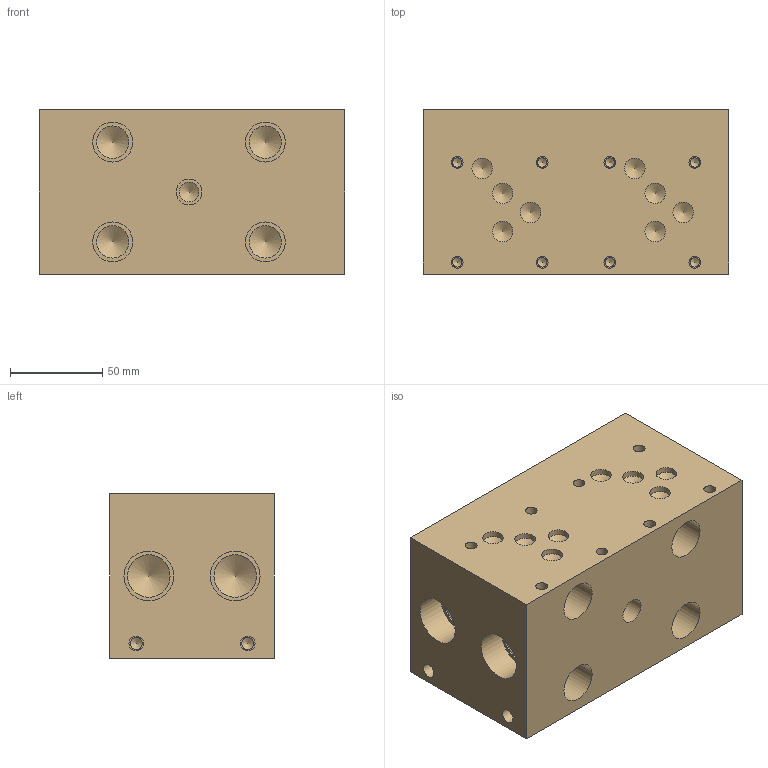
import cadquery as cq
import math

LENGTH = 165.1
WIDTH = 88.9
HEIGHT = 88.9
LEFT = -LENGTH / 2
FRONT = -WIDTH / 2
BACK = WIDTH / 2
BOTTOM = -HEIGHT / 2
TOP = HEIGHT / 2

STATION_COUNT = 2
STATION_PITCH = LENGTH / STATION_COUNT
BOLT_SPAN_X = 46.0
BOLT_SPAN_Y = 54.0
BOLT_ROW_TO_FRONT = 6.35
FLOW_OFFSETS = [(6.3, 27.0), (21.4, 16.7), (21.4, 37.3), (32.5, 3.2)]
FLOW_DIAMETER = 11.11
FLOW_DEPTH = 3.2
STATION_BOLT_DIAMETER = 6.35
STATION_BOLT_DRILL = 5.11
STATION_BOLT_THREAD_DEPTH = 14.0
STATION_BOLT_DEPTH = 18.0

WORK_PORT_X = 39.67
WORK_PORT_EDGE_Z = 17.46
WORK_PORT_DIAMETER = 21.59
WORK_PORT_DRILL = 17.48
WORK_PORT_THREAD_DEPTH = 15.5
WORK_PORT_DEPTH = 17.0
GAUGE_PORT_X = 80.96
GAUGE_PORT_DIAMETER = 13.87
GAUGE_PORT_DRILL = 10.72
GAUGE_PORT_THREAD_DEPTH = 11.0
GAUGE_PORT_DEPTH = 15.0

MAIN_PORT_EDGE_Y = 21.08
MAIN_PORT_DIAMETER = 26.92
MAIN_PORT_DRILL = 23.01
MAIN_PORT_THREAD_DEPTH = 15.9
MAIN_PORT_DEPTH = 16.5
MOUNT_EDGE_Y = 14.29
MOUNT_EDGE_Z = 7.94
MOUNT_DIAMETER = 7.92
MOUNT_DRILL = 6.53
MOUNT_THREAD_DEPTH = 15.0
MOUNT_DEPTH = 20.0

DRILL_POINT_ANGLE = 118.0

INTO_TOP = (0, 0, -1)
INTO_FRONT = (0, 1, 0)
INTO_LEFT = (1, 0, 0)


def drilled_hole(position, direction, diameter, depth):
    """Blind hole whose full-diameter depth ends in a conical drill point."""
    radius = diameter / 2
    point_depth = radius / math.tan(math.radians(DRILL_POINT_ANGLE / 2))
    start = cq.Vector(*position)
    axis = cq.Vector(*direction)
    bore = cq.Solid.makeCylinder(radius, depth, start, axis)
    point = cq.Solid.makeCone(radius, 0, point_depth, start + axis * depth, axis)
    return bore.fuse(point)


def threaded_hole(position, direction, diameter, thread_depth, drill, depth):
    """Drilled hole opened out to the thread diameter over the thread depth."""
    thread = cq.Solid.makeCylinder(
        diameter / 2, thread_depth, cq.Vector(*position), cq.Vector(*direction)
    )
    return drilled_hole(position, direction, drill, depth).fuse(thread)


def station_holes(center_x):
    """Bolt holes and flow passages of one valve station."""
    bolt_right = center_x + BOLT_SPAN_X / 2
    bolt_left = bolt_right - BOLT_SPAN_X
    bolt_front = FRONT + BOLT_ROW_TO_FRONT
    bolt_back = bolt_front + BOLT_SPAN_Y
    holes = []
    for x in (bolt_left, bolt_right):
        for y in (bolt_front, bolt_back):
            holes.append(threaded_hole(
                (x, y, TOP), INTO_TOP, STATION_BOLT_DIAMETER, STATION_BOLT_THREAD_DEPTH,
                STATION_BOLT_DRILL, STATION_BOLT_DEPTH,
            ))
    for offset_x, offset_y in FLOW_OFFSETS:
        position = (bolt_right - offset_x, bolt_back - offset_y, TOP)
        holes.append(drilled_hole(position, INTO_TOP, FLOW_DIAMETER, FLOW_DEPTH))
    return holes


def front_ports():
    """Two columns of A and B ports, and the gauge port at mid height."""
    holes = []
    for station in range(STATION_COUNT):
        x = LEFT + WORK_PORT_X + station * STATION_PITCH
        for z in (BOTTOM + WORK_PORT_EDGE_Z, TOP - WORK_PORT_EDGE_Z):
            holes.append(threaded_hole(
                (x, FRONT, z), INTO_FRONT, WORK_PORT_DIAMETER, WORK_PORT_THREAD_DEPTH,
                WORK_PORT_DRILL, WORK_PORT_DEPTH,
            ))
    holes.append(threaded_hole(
        (LEFT + GAUGE_PORT_X, FRONT, 0), INTO_FRONT, GAUGE_PORT_DIAMETER,
        GAUGE_PORT_THREAD_DEPTH, GAUGE_PORT_DRILL, GAUGE_PORT_DEPTH,
    ))
    return holes


def left_end_holes():
    """T and P ports at mid height, with two mounting holes below them."""
    holes = []
    for y in (FRONT + MAIN_PORT_EDGE_Y, BACK - MAIN_PORT_EDGE_Y):
        holes.append(threaded_hole(
            (LEFT, y, 0), INTO_LEFT, MAIN_PORT_DIAMETER, MAIN_PORT_THREAD_DEPTH,
            MAIN_PORT_DRILL, MAIN_PORT_DEPTH,
        ))
    for y in (FRONT + MOUNT_EDGE_Y, BACK - MOUNT_EDGE_Y):
        holes.append(threaded_hole(
            (LEFT, y, BOTTOM + MOUNT_EDGE_Z), INTO_LEFT, MOUNT_DIAMETER, MOUNT_THREAD_DEPTH,
            MOUNT_DRILL, MOUNT_DEPTH,
        ))
    return holes


all_holes = front_ports() + left_end_holes()
for station in range(STATION_COUNT):
    all_holes += station_holes(LEFT + (station + 0.5) * STATION_PITCH)

block = cq.Workplane("XY").box(LENGTH, WIDTH, HEIGHT)
result = block.cut(cq.Workplane(obj=cq.Compound.makeCompound(all_holes)))